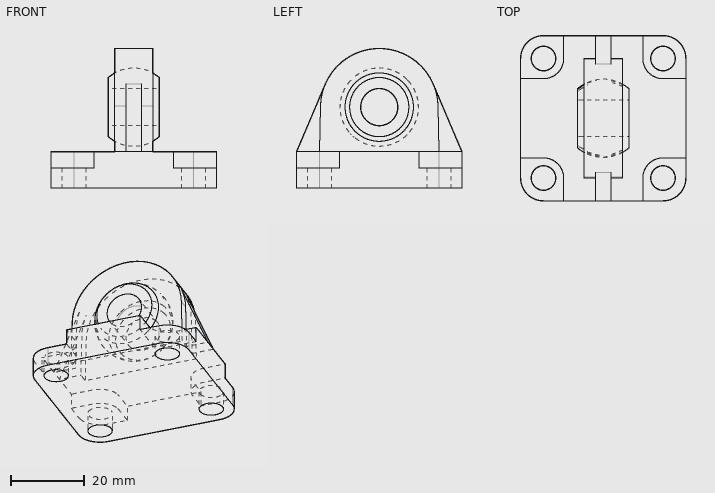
import cadquery as cq
import math

base_side = 45.0
base_height = 9.9
corner_radius = 6.25
hole_inset = 6.25
hole_diameter = 6.6
pocket_floor = 5.5
pocket_radius = 5.5

lug_width = 10.45
lug_foot_half_length = 16.25
eye_height = 22.0
eye_radius = 15.98
rib_width = 4.1

ball_radius = 10.65
ball_width = 14.0
bore_diameter = 10.05

half_side = base_side / 2
hole_offset = half_side - hole_inset
pocket_side = hole_inset + pocket_radius


def tangent_point(foot_y):
    """Point (y, z) where a line from the base top at foot_y touches the eye circle."""
    drop = base_height - eye_height
    distance = math.hypot(foot_y, drop)
    angle = math.atan2(drop, foot_y) + math.acos(eye_radius / distance)
    return (eye_radius * math.cos(angle), eye_height + eye_radius * math.sin(angle))


def make_corner_pocket(side_x, side_y):
    """Cutter for one bolt seat, rounded only at the corner nearest the base centre."""
    centre = half_side - pocket_side / 2
    inner_corner = f"|Z and ({'<' if side_x > 0 else '>'}X and {'<' if side_y > 0 else '>'}Y)"
    return (
        cq.Workplane("XY", origin=(side_x * centre, side_y * centre, pocket_floor))
        .rect(pocket_side, pocket_side)
        .extrude(base_height - pocket_floor)
        .edges(inner_corner)
        .fillet(pocket_radius)
    )


def make_base():
    """Rounded square plate with a bolt hole and a seat in each corner."""
    base = (
        cq.Workplane("XY")
        .rect(base_side, base_side)
        .extrude(base_height)
        .edges("|Z")
        .fillet(corner_radius)
        .faces("<Z")
        .workplane()
        .rect(2 * hole_offset, 2 * hole_offset, forConstruction=True)
        .vertices()
        .hole(hole_diameter)
    )
    for side_x in (-1, 1):
        for side_y in (-1, 1):
            base = base.cut(make_corner_pocket(side_x, side_y))
    return base


def make_upright(width, foot_half_length):
    """Plate across X whose straight flanks rise tangent to the eye circle."""
    flank_y, flank_z = tangent_point(foot_half_length)
    return (
        cq.Workplane("YZ")
        .moveTo(-foot_half_length, base_height)
        .lineTo(foot_half_length, base_height)
        .lineTo(flank_y, flank_z)
        .threePointArc((0, eye_height + eye_radius), (-flank_y, flank_z))
        .close()
        .extrude(width / 2, both=True)
    )


def make_sphere():
    return cq.Workplane("XY").sphere(ball_radius).translate((0, 0, eye_height))


def make_housing():
    """Base, lug and side ribs in one piece, with a spherical seat for the ball."""
    lug = make_upright(lug_width, lug_foot_half_length)
    ribs = make_upright(rib_width, half_side)
    return make_base().union(lug).union(ribs).cut(make_sphere())


def make_ball():
    """Sphere with two flat faces and a bore along X."""
    faces = cq.Workplane("XY").box(ball_width, 2 * ball_radius, 2 * ball_radius)
    bore = (
        cq.Workplane("YZ", origin=(0, 0, eye_height))
        .circle(bore_diameter / 2)
        .extrude(ball_width, both=True)
    )
    return make_sphere().intersect(faces.translate((0, 0, eye_height))).cut(bore)


housing = make_housing()
ball = make_ball()

result = cq.Compound.makeCompound([housing.solids().val(), ball.solids().val()])